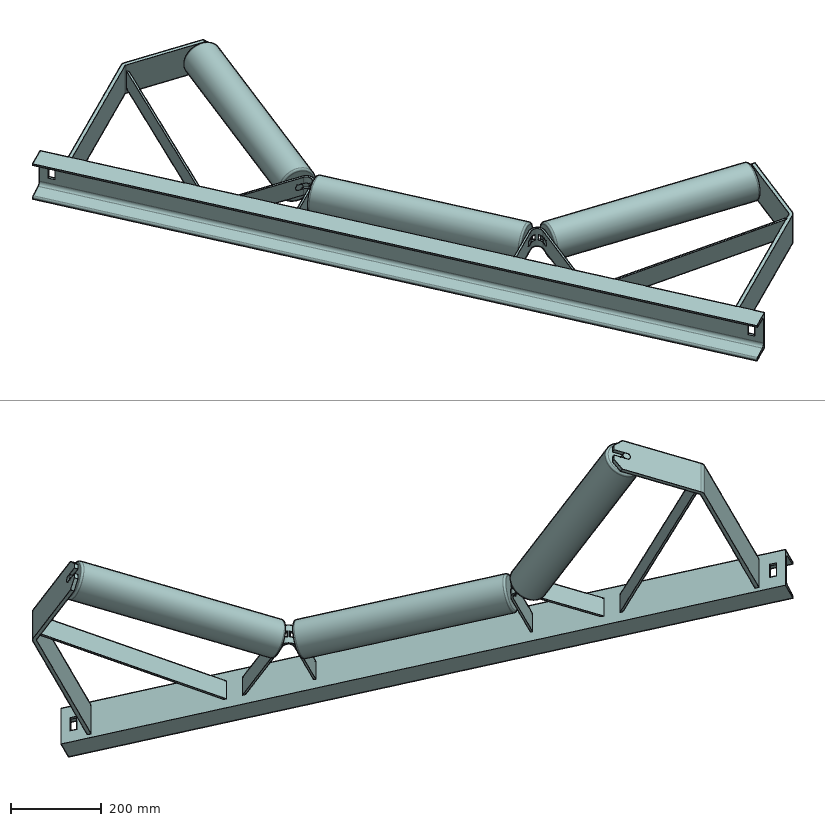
import cadquery as cq
import math


channel_length = 1700.0
channel_depth = 100.0
flange_height = 50.0
web_thickness = 6.0
flange_root_thickness = 10.0
flange_tip_thickness = 6.5
root_radius = 8.5
tip_radius = 4.5
mounting_slot_width = 16.0
mounting_slot_length = 36.0
mounting_slot_inset = 29.0

roller_diameter = 89.0
roller_length = 500.0
roller_edge_radius = 5.0
shaft_diameter = 18.0
shaft_flat_width = 15.0
inner_gap = 2.0
outer_gap = 3.0
trough_angle = 45.0
middle_axis_height = 117.0
side_roller_start_x = 293.0
side_roller_start_height = 134.0

frame_height = 517.81
outer_bracket_width = 80.0
inner_bracket_width = 50.0
inner_thickness = 5.0
inner_bend_radius = 19.0
outer_thickness = 9.0
outer_bend_radius = 14.0
outer_post_x = 788.0
outer_tip_chamfer = 20.0
brace_width = 50.0
brace_thickness = 5.0
brace_foot_x = 465.0
brace_head_offset = 6.0
slot_reach = 100.0

cos_trough = math.cos(math.radians(trough_angle))
sin_trough = math.sin(math.radians(trough_angle))
axis_direction = cq.Vector(cos_trough, sin_trough)
across_direction = cq.Vector(-sin_trough, cos_trough)
up_direction = cq.Vector(0, 1)
side_roller_start = cq.Vector(side_roller_start_x, side_roller_start_height)


def side_point(along, across):
    """Point at a distance along the side roller's axis and another square to it."""
    return side_roller_start + axis_direction * along + across_direction * across


def side_point_at_height(along, height):
    """Point at a given height on the line square to the side roller's axis."""
    across = (height - side_point(along, 0).y) / across_direction.y
    return side_point(along, across)


def side_point_at_x(along, x):
    """Point at a given X on the line square to the side roller's axis."""
    across = (x - side_point(along, 0).x) / across_direction.x
    return side_point(along, across)


def extrude_outline(points, width):
    """Plate with an X-Y outline, centred on Z = 0."""
    corners = [(point.x, point.y) for point in points]
    return cq.Workplane("XY").polyline(corners).close().extrude(width / 2, both=True)


def round_bend(plate, corner, radius):
    """Round the edge along Z that stands on a corner of the outline."""
    return plate.edges(cq.selectors.NearestToPointSelector((corner.x, corner.y, 0))).fillet(radius)


def mirrored(body):
    """Matching body for the -X half of the frame."""
    return body.mirror("YZ")


def make_channel():
    half_depth = channel_depth / 2
    root_z = half_depth - flange_root_thickness
    tip_z = half_depth - flange_tip_thickness
    channel = (
        cq.Workplane("YZ")
        .polyline([
            (0, -half_depth),
            (-flange_height, -half_depth),
            (-flange_height, -tip_z),
            (-web_thickness, -root_z),
            (-web_thickness, root_z),
            (-flange_height, tip_z),
            (-flange_height, half_depth),
            (0, half_depth),
        ])
        .close()
        .extrude(channel_length / 2, both=True)
    )
    for side in (-1, 1):
        root = cq.Vector(0, -web_thickness, side * root_z)
        tip = cq.Vector(0, -flange_height, side * tip_z)
        channel = channel.edges(cq.selectors.NearestToPointSelector(root.toTuple())).fillet(root_radius)
        channel = channel.edges(cq.selectors.NearestToPointSelector(tip.toTuple())).fillet(tip_radius)
    slot_x = channel_length / 2 - mounting_slot_inset
    slots = (
        cq.Workplane("XZ")
        .pushPoints([(-slot_x, 0), (slot_x, 0)])
        .rect(mounting_slot_width, mounting_slot_length)
        .extrude(web_thickness)
    )
    return channel.cut(slots)


def flattened_circle():
    """Shaft end section: a circle cut by two flats that face along Z."""
    return cq.Sketch().circle(shaft_diameter / 2).rect(shaft_flat_width, shaft_diameter, mode="i")


def make_roller(start, direction, start_stub, end_stub):
    plane = cq.Plane(origin=start.toTuple(), xDir=(0, 0, 1), normal=direction.toTuple())
    shell = cq.Workplane(plane).circle(roller_diameter / 2).extrude(roller_length)
    shell = shell.edges("%CIRCLE").fillet(roller_edge_radius)
    section = flattened_circle()
    start_shaft = cq.Workplane(plane).placeSketch(section).extrude(-start_stub)
    end_shaft = cq.Workplane(plane).workplane(offset=roller_length).placeSketch(section).extrude(end_stub)
    return shell.union(start_shaft).union(end_shaft)


def shaft_slot(center, axis, opening):
    """Cutter that fits a flattened shaft end and is open toward one direction."""
    plane = cq.Plane(origin=center.toTuple(), xDir=(0, 0, 1), normal=axis.toTuple())
    depth = outer_gap + outer_thickness
    seat = cq.Workplane(plane).placeSketch(flattened_circle()).extrude(depth)
    opening_plane = cq.Plane(
        origin=(center + opening * (slot_reach / 2)).toTuple(), xDir=(0, 0, 1), normal=axis.toTuple()
    )
    throat = cq.Workplane(opening_plane).rect(shaft_flat_width, slot_reach).extrude(depth)
    return seat.union(throat)


def make_inner_bracket():
    face_x = roller_length / 2 + inner_gap
    back_x = face_x + inner_thickness
    face_along = -inner_gap
    back_along = face_along - inner_thickness
    outside_corner = side_point_at_x(face_along, face_x)
    inside_corner = side_point_at_x(back_along, back_x)
    bracket = extrude_outline([
        cq.Vector(face_x, 0),
        outside_corner,
        side_point_at_height(face_along, 0),
        side_point_at_height(back_along, 0),
        inside_corner,
        cq.Vector(back_x, 0),
    ], inner_bracket_width)
    bracket = round_bend(bracket, outside_corner, inner_bend_radius)
    bracket = round_bend(bracket, inside_corner, inner_bend_radius - inner_thickness)
    middle_shaft_end = cq.Vector(roller_length / 2, middle_axis_height)
    bracket = bracket.cut(shaft_slot(middle_shaft_end, cq.Vector(1, 0), up_direction))
    return bracket.cut(shaft_slot(side_roller_start, axis_direction * -1, across_direction))


inner_arm_along = roller_length + outer_gap
outer_arm_along = inner_arm_along + outer_thickness
inner_post_x = outer_post_x - outer_thickness
outer_elbow = side_point_at_x(outer_arm_along, outer_post_x)
inner_elbow = side_point_at_x(inner_arm_along, inner_post_x)


def make_outer_bracket():
    outer_tip = side_point_at_height(outer_arm_along, frame_height)
    inner_tip = outer_tip - axis_direction * outer_thickness
    bracket = extrude_outline([
        cq.Vector(outer_post_x, 0),
        outer_elbow,
        outer_tip,
        inner_tip,
        inner_elbow,
        cq.Vector(inner_post_x, 0),
    ], outer_bracket_width)
    for side in (-1, 1):
        tip_corner = (outer_tip + inner_tip) * 0.5 + cq.Vector(0, 0, side * outer_bracket_width / 2)
        tip_edge = cq.selectors.NearestToPointSelector(tip_corner.toTuple())
        bracket = bracket.edges(tip_edge).chamfer(outer_tip_chamfer)
    bracket = round_bend(bracket, outer_elbow, outer_bend_radius)
    bracket = round_bend(bracket, inner_elbow, outer_bend_radius - outer_thickness)
    side_shaft_end = side_point(roller_length, 0)
    return bracket.cut(shaft_slot(side_shaft_end, axis_direction, across_direction))


def make_brace(outer_bracket):
    foot = cq.Vector(brace_foot_x, 0)
    head = inner_elbow - cq.Vector(brace_head_offset, 0)
    rise = head - foot
    foot_half_width = brace_thickness / 2 * rise.Length / rise.y
    half_foot = cq.Vector(foot_half_width, 0)
    bar = extrude_outline([
        foot - half_foot,
        foot + half_foot,
        head + half_foot,
        head - half_foot,
    ], brace_width)
    return bar.cut(outer_bracket)


channel = make_channel()

inner_stub = inner_gap + inner_thickness
outer_stub = outer_gap + outer_thickness
middle_start = cq.Vector(-roller_length / 2, middle_axis_height)
middle_roller = make_roller(middle_start, cq.Vector(1, 0), inner_stub, inner_stub)

side_roller = make_roller(side_roller_start, axis_direction, inner_stub, outer_stub)
inner_bracket = make_inner_bracket()
outer_bracket = make_outer_bracket()
brace = make_brace(outer_bracket)

paired_bodies = []
for body in (side_roller, inner_bracket, outer_bracket, brace):
    paired_bodies += [body.val(), mirrored(body).val()]

result = cq.Compound.makeCompound([channel.val(), middle_roller.val(), *paired_bodies])